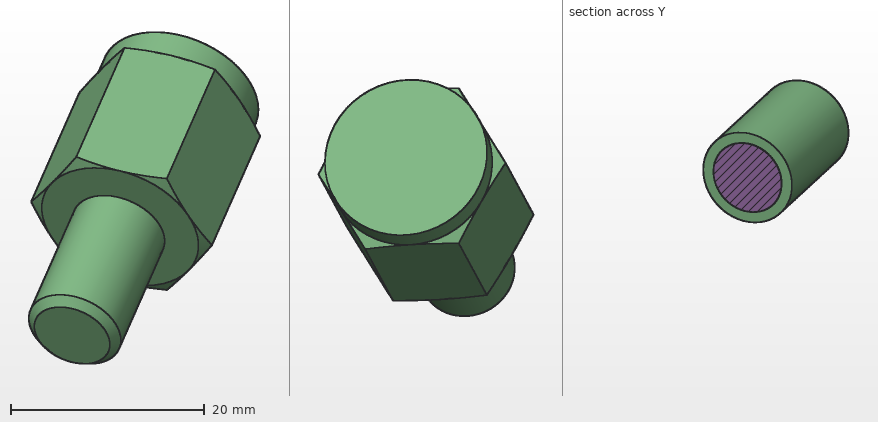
import cadquery as cq
import math

across_flats = 17.0
across_corners = across_flats / math.cos(math.radians(30))
hex_length = 17.0
corner_chamfer_angle = 20.0

collar_diameter = across_flats
collar_length = 3.0

stud_diameter = 10.0
stud_length = 16.0
stud_chamfer = 0.9
undercut_diameter = 7.7
undercut_length = 0.5

hex_front = 0.0
hex_back = hex_front + hex_length
collar_back = hex_back + collar_length
stud_root = hex_front - undercut_length
stud_tip = hex_front - stud_length


def cylinder(diameter, y_start, y_end):
    """Solid cylinder on the Y axis between two Y positions."""
    section = cq.Workplane("XZ", origin=(0, y_start, 0)).circle(diameter / 2)
    return section.extrude(y_start - y_end)


def corner_chamfer_envelope():
    """Turned blank, coned at both ends, that trims the hexagon corners."""
    flat_radius = across_flats / 2
    corner_radius = across_corners / 2
    depth = (corner_radius - flat_radius) * math.tan(math.radians(corner_chamfer_angle))
    return (
        cq.Workplane("XY")
        .moveTo(0, hex_front)
        .lineTo(flat_radius, hex_front)
        .lineTo(corner_radius, hex_front + depth)
        .lineTo(corner_radius, hex_back - depth)
        .lineTo(flat_radius, hex_back)
        .lineTo(0, hex_back)
        .close()
        .revolve(360, (0, 0, 0), (0, 1, 0))
    )


def hex_body():
    """Hexagonal prism with chamfered corners at both ends."""
    section = cq.Workplane("XZ", origin=(0, hex_front, 0)).polygon(6, across_corners)
    return section.extrude(-hex_length).intersect(corner_chamfer_envelope())


def stud():
    """Undercut neck and plain stud with a chamfered tip."""
    neck = cylinder(undercut_diameter, stud_root, hex_front)
    shank = cylinder(stud_diameter, stud_tip, stud_root)
    return shank.faces("<Y").chamfer(stud_chamfer).union(neck)


collar = cylinder(collar_diameter, hex_back, collar_back)
result = hex_body().union(collar).union(stud())